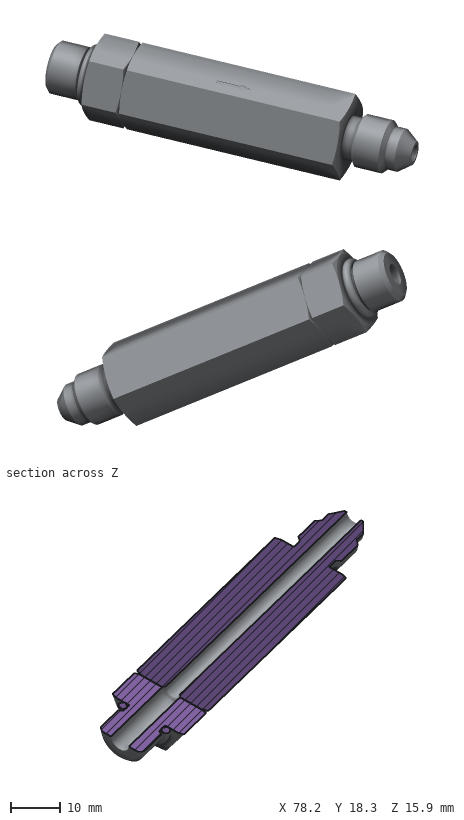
import cadquery as cq
import math


total_length = 78.23
hex_across_flats = 15.88
hex_across_corners = hex_across_flats / math.cos(math.pi / 6)
hex_chamfer_diameter = 15.7
hex_chamfer_angle = 16.0

cap_hex_start = 9.1
joint_x = 17.25
housing_hex_end = 64.1

thread_diameter = 11.1

cap_bore_diameter = 4.5
housing_bore_diameter = 3.6

cap_tip_diameter = 9.3
cap_tip_chamfer = 0.8
cap_thread_end = 6.75
cap_runout_angle = 30.0
ring_groove_diameter = 9.3

ring_section = 1.83
ring_center_x = cap_hex_start - ring_section / 2
ring_center_radius = (ring_groove_diameter + ring_section) / 2

neck_diameter = 9.17
neck_end = 66.1
thread_back_chamfer = 0.7
thread_front_chamfer = 1.05
nose_diameter = 8.99
nose_start = 73.4
flare_angle = 37.0
flare_tip_diameter = 4.9

arrow_start = 36.0
arrow_head_start = 41.0
arrow_tip = 43.4
arrow_shaft_width = 0.8
arrow_head_width = 1.8
arrow_y = -1.6
arrow_depth = 0.1


def revolve_about_x(profile):
    """Revolve a list of (x, radius) points, closed along the X axis."""
    closed = [(profile[0][0], 0), *profile, (profile[-1][0], 0)]
    return cq.Workplane("XZ").polyline(closed).close().revolve(360, (0, 0, 0), (1, 0, 0))


def hexagon_bar(start, end):
    """Hexagonal bar with flats facing +Z and -Z and its corners turned off at both ends."""
    length = end - start
    bar = cq.Workplane("YZ", origin=(start, 0, 0)).polygon(6, hex_across_corners).extrude(length)
    corner_radius = hex_across_corners / 2
    face_radius = hex_chamfer_diameter / 2
    chamfer_length = (corner_radius - face_radius) * math.tan(math.radians(hex_chamfer_angle))
    envelope = revolve_about_x([
        (start, face_radius),
        (start + chamfer_length, corner_radius),
        (end - chamfer_length, corner_radius),
        (end, face_radius),
    ])
    return bar.intersect(envelope)


def make_end_cap():
    thread_radius = thread_diameter / 2
    groove_radius = ring_groove_diameter / 2
    thread_runout = (thread_radius - groove_radius) * math.tan(math.radians(cap_runout_angle))
    stem = revolve_about_x([
        (0, cap_tip_diameter / 2),
        (cap_tip_chamfer, thread_radius),
        (cap_thread_end, thread_radius),
        (cap_thread_end + thread_runout, groove_radius),
        (cap_hex_start, groove_radius),
    ])
    bore_radius = cap_bore_diameter / 2
    bore = revolve_about_x([(0, bore_radius), (joint_x, bore_radius)])
    return hexagon_bar(cap_hex_start, joint_x).union(stem).cut(bore)


def make_o_ring():
    section = cq.Workplane("XY").center(ring_center_x, ring_center_radius).circle(ring_section / 2)
    return section.revolve(360, (0, -ring_center_radius, 0), (1, -ring_center_radius, 0))


def make_flow_arrow():
    shaft_half = arrow_shaft_width / 2
    head_half = arrow_head_width / 2
    outline = [
        (arrow_start, -shaft_half),
        (arrow_head_start, -shaft_half),
        (arrow_head_start, -head_half),
        (arrow_tip, 0),
        (arrow_head_start, head_half),
        (arrow_head_start, shaft_half),
        (arrow_start, shaft_half),
    ]
    top_flat = cq.Workplane("XY", origin=(0, arrow_y, hex_across_flats / 2))
    return top_flat.polyline(outline).close().extrude(-arrow_depth)


def make_housing():
    thread_radius = thread_diameter / 2
    neck_radius = neck_diameter / 2
    nose_radius = nose_diameter / 2
    tip_radius = flare_tip_diameter / 2
    flare_length = (nose_radius - tip_radius) / math.tan(math.radians(flare_angle))
    flare_end = revolve_about_x([
        (housing_hex_end, neck_radius),
        (neck_end, neck_radius),
        (neck_end + thread_back_chamfer, thread_radius),
        (nose_start - thread_front_chamfer, thread_radius),
        (nose_start, nose_radius),
        (total_length - flare_length, nose_radius),
        (total_length, tip_radius),
    ])
    bore_radius = housing_bore_diameter / 2
    mouth_radius = cap_bore_diameter / 2
    mouth_depth = mouth_radius - bore_radius
    bore = revolve_about_x([
        (joint_x, mouth_radius),
        (joint_x + mouth_depth, bore_radius),
        (total_length, bore_radius),
    ])
    body = hexagon_bar(joint_x, housing_hex_end).union(flare_end)
    return body.cut(bore).cut(make_flow_arrow())


end_cap = make_end_cap()
o_ring = make_o_ring()
housing = make_housing()

result = cq.Compound.makeCompound([end_cap.val(), o_ring.val(), housing.val()])